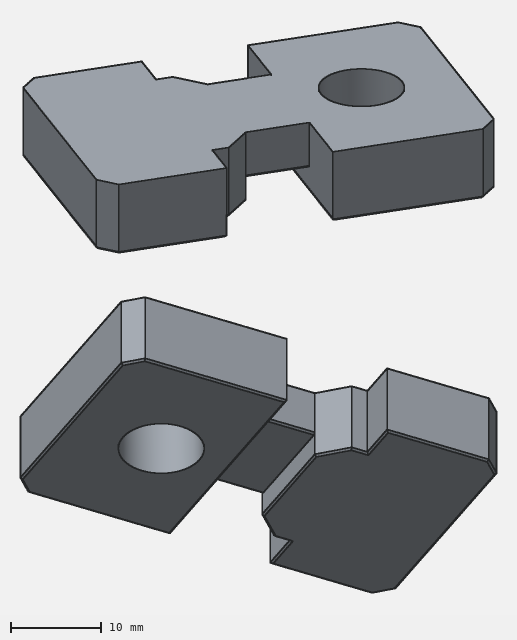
import cadquery as cq

length = 46.5
width = 28.5
height = 8.5
corner_chamfer = 1.95
bottom_chamfer = 0.25

rear_head_length = 19.55
front_head_length = 14.55
neck_width = 12.85
shoulder_width = 18.9
shoulder_straight = 1.95
shoulder_taper = (shoulder_width - neck_width) / 2

channel_depth = 2.98

hole_diameter = 9.5
hole_from_rear = 11.2

rear_face = length / 2
neck_rear = rear_face - rear_head_length
shoulder_front = -length / 2 + front_head_length
taper_front = shoulder_front + shoulder_straight
neck_front = taper_front + shoulder_taper


def plate():
    """Rectangular block with chamfered vertical corners."""
    block = cq.Workplane("XY").box(width, length, height, centered=(True, True, False))
    return block.edges("|Z").chamfer(corner_chamfer)


def side_notch(side):
    """Cutter for the waist on one side; side is -1 or +1 along X."""
    outer = side * width
    neck = side * neck_width / 2
    shoulder = side * shoulder_width / 2
    outline = [
        (outer, neck_rear),
        (neck, neck_rear),
        (neck, neck_front),
        (shoulder, taper_front),
        (shoulder, shoulder_front),
        (outer, shoulder_front),
    ]
    return cq.Workplane("XY").polyline(outline).close().extrude(height)


def channel():
    """Cutter for the channel running along X beneath the neck."""
    return (
        cq.Workplane("XY")
        .center(0, (neck_rear + neck_front) / 2)
        .box(width, neck_rear - neck_front, channel_depth, centered=(True, True, False))
    )


body = plate()
for side in (-1, 1):
    body = body.cut(side_notch(side))
body = body.cut(channel())

body = body.faces("<Z").chamfer(bottom_chamfer)
neck_edge_finder = cq.selectors.BoxSelector(
    (-neck_width, neck_front, channel_depth - bottom_chamfer),
    (neck_width, neck_rear, channel_depth + bottom_chamfer),
)
body = body.edges("|Y").edges(neck_edge_finder).chamfer(bottom_chamfer)

hole = (
    cq.Workplane("XY")
    .center(0, rear_face - hole_from_rear)
    .circle(hole_diameter / 2)
    .extrude(height)
)
result = body.cut(hole)